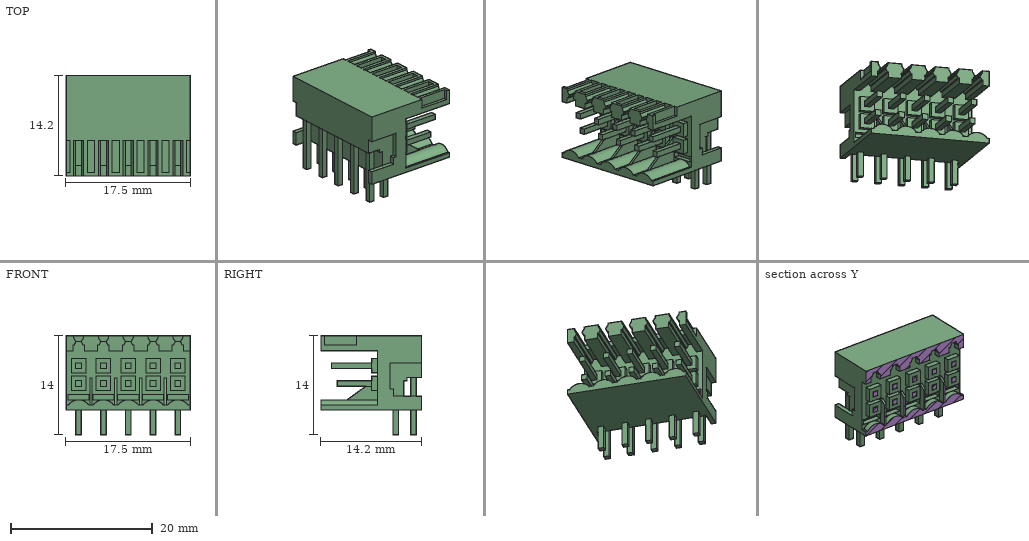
import cadquery as cq


ways = 5
pitch = 3.5
length = ways * pitch
depth = 14.2
height = 10.5
wall_y = 7.95
floor_top = 0.7
roof_thickness = 2.15
roof_bottom = height - roof_thickness

pin_width = 0.8
row_spacing = 2.5
lower_row_z = 3.75
upper_row_z = lower_row_z + row_spacing
lower_pin_tip_y = 2.3
upper_pin_tip_y = 1.49
collar_width = 2.05
collar_length = 0.8
rear_tail_y = 13.05
front_tail_y = rear_tail_y - row_spacing
tail_length = 3.5

cushion_width = 2.87
cushion_top = 1.44
rib_thickness = 0.35
rib_top = 4.55
rib_tip_y = 2.66

window_width = 2.98
window_height = 0.77
window_depth = 0.8

roof_cut_end_y = 5.0
keyway_mouth_width = 1.44
keyway_lip_drop = 0.3
keyway_waist_width = pin_width
keyway_waist_drop = 0.8
keyway_waist_land = 0.1
keyway_flare_width = 1.26
keyway_flare_drop = 1.36
keyway_base_width = 1.61
slot_width = 1.02
slot_depth = 1.35
slot_front_y = 0.5

base_top = 1.96
overhang_z = 4.58
opening_y = 11.69
opening_step_y = 12.16
opening_step_z = 4.11
recess_depth = 0.7
recess_top = 6.65
recess_y = 9.73
recess_ledge_y = 10.22
recess_ledge_z = 2.98

way_centres = [(i - (ways - 1) / 2) * pitch for i in range(ways)]
way_borders = [(i - ways / 2) * pitch for i in range(ways + 1)]


def block(x_mid, width, y_from, y_to, z_from, z_to):
    """Box centred on x_mid in X, spanning the given Y and Z ranges."""
    size = (width, y_to - y_from, z_to - z_from)
    return cq.Workplane("XY").box(*size, centered=(True, False, False)).translate((x_mid, y_from, z_from))


def side_prism(points, x_mid, width):
    """Closed (y, z) outline extruded along X, centred on x_mid."""
    return cq.Workplane("YZ").polyline(points).close().extrude(width / 2, both=True).translate((x_mid, 0, 0))


def front_prism(points, y_from, y_to):
    """Closed (x, z) outline extruded from y_from to y_to."""
    return cq.Workplane("XZ", origin=(0, y_from, 0)).polyline(points).close().extrude(y_from - y_to)


def mirrored(half_outline):
    """Complete an outline, given by its right half, across X = 0."""
    return half_outline + [(-x, z) for x, z in reversed(half_outline)]


def housing():
    profile = [
        (0, 0),
        (depth, 0),
        (depth, base_top),
        (opening_y, base_top),
        (opening_y, opening_step_z),
        (opening_step_y, opening_step_z),
        (opening_step_y, overhang_z),
        (depth, overhang_z),
        (depth, height),
        (0, height),
        (0, roof_bottom),
        (wall_y, roof_bottom),
        (wall_y, floor_top),
        (0, floor_top),
    ]
    return side_prism(profile, 0, length)


def side_recess(x_side):
    profile = [
        (depth, base_top),
        (recess_ledge_y, base_top),
        (recess_ledge_y, recess_ledge_z),
        (recess_y, recess_ledge_z),
        (recess_y, recess_top),
        (depth, recess_top),
    ]
    return side_prism(profile, x_side, 2 * recess_depth)


def tail_clearance():
    """Gap through the rear of the base, leaving a cheek at each end."""
    return block(0, length - 2 * recess_depth, opening_y, depth, 0, base_top)


def cushion():
    return (
        cq.Workplane("XZ")
        .moveTo(-cushion_width / 2, floor_top)
        .threePointArc((0, cushion_top), (cushion_width / 2, floor_top))
        .close()
        .extrude(-wall_y)
    )


def rib(x_mid):
    return side_prism([(rib_tip_y, floor_top), (wall_y, floor_top), (wall_y, rib_top)], x_mid, rib_thickness)


def window():
    return block(0, window_width, wall_y, wall_y + window_depth, cushion_top, cushion_top + window_height)


def keyway():
    """Hourglass channel; its part below the waist runs on to the contact wall."""
    waist_z = height - keyway_waist_drop
    flare_z = height - keyway_flare_drop
    mouth = [
        (keyway_waist_width / 2, waist_z),
        (keyway_mouth_width / 2, height - keyway_lip_drop),
        (keyway_mouth_width / 2, height),
    ]
    throat = [
        (keyway_base_width / 2, roof_bottom),
        (keyway_base_width / 2, flare_z),
        (keyway_flare_width / 2, flare_z),
        (keyway_waist_width / 2, waist_z - keyway_waist_land),
        (keyway_waist_width / 2, waist_z),
    ]
    upper = front_prism(mirrored(mouth), 0, roof_cut_end_y)
    lower = front_prism(mirrored(throat), 0, wall_y)
    return upper.union(lower)


def roof_slot(x_mid):
    return block(x_mid, slot_width, slot_front_y, roof_cut_end_y, height - slot_depth, height)


def contact(row_z, tip_y):
    collar_z = row_z - collar_width / 2
    collar = block(0, collar_width, wall_y - collar_length, wall_y, collar_z, collar_z + collar_width)
    pin_z = row_z - pin_width / 2
    pin = block(0, pin_width, tip_y, wall_y, pin_z, pin_z + pin_width)
    return collar.union(pin)


def tail(y_mid, top_z):
    return block(0, pin_width, y_mid - pin_width / 2, y_mid + pin_width / 2, -tail_length, top_z)


way_cuts = keyway().union(window())
way_parts = (
    cushion()
    .union(contact(lower_row_z, lower_pin_tip_y))
    .union(contact(upper_row_z, upper_pin_tip_y))
    .union(tail(front_tail_y, base_top))
    .union(tail(rear_tail_y, overhang_z))
)

result = housing().cut(tail_clearance())
for side in (-1, 1):
    result = result.cut(side_recess(side * length / 2))
for x in way_borders:
    result = result.cut(roof_slot(x))
for x in way_centres:
    result = result.cut(way_cuts.translate((x, 0, 0)))
for x in way_centres:
    result = result.union(way_parts.translate((x, 0, 0)))
for x in way_borders[1:-1]:
    result = result.union(rib(x))